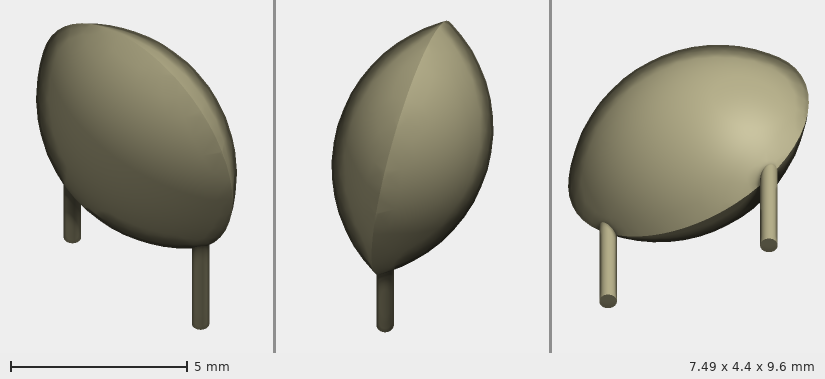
import cadquery as cq

body_diameter = 7.49
body_thickness = 4.4
lead_diameter = 0.5
lead_spacing = 5.0
total_height = 9.6

body_radius = body_diameter / 2
half_thickness = body_thickness / 2
lead_bottom = body_radius - total_height


def make_body():
    """Overlap of two equal spheres set apart along Y; each face is a spherical cap."""
    cap_radius = (body_radius**2 + half_thickness**2) / (2 * half_thickness)
    centre_offset = cap_radius - half_thickness
    front_sphere = cq.Workplane("XY").sphere(cap_radius).translate((0, centre_offset, 0))
    back_sphere = cq.Workplane("XY").sphere(cap_radius).translate((0, -centre_offset, 0))
    return front_sphere.intersect(back_sphere)


def make_leads():
    """Vertical pins that run up into the body and end at its mid-height."""
    return (
        cq.Workplane("XY", origin=(0, 0, lead_bottom))
        .pushPoints([(side * lead_spacing / 2, 0) for side in (-1, 1)])
        .circle(lead_diameter / 2)
        .extrude(-lead_bottom)
    )


result = make_body().union(make_leads())